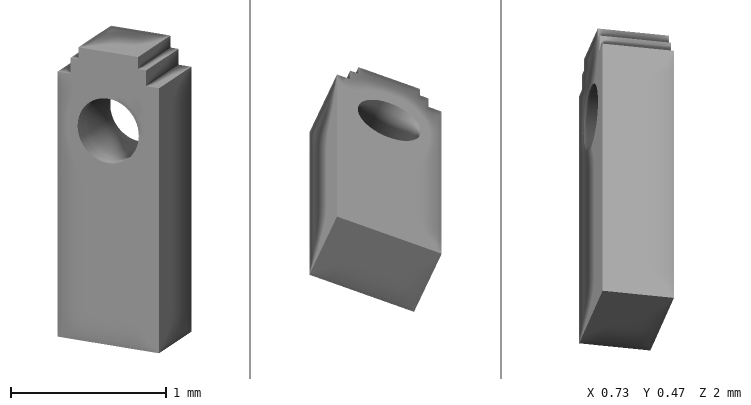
import cadquery as cq

width = 0.73
depth = 0.47
height = 2.0

body_height = 1.81
middle_width = 0.545
middle_top = 1.918
crown_width = 0.43

hole_diameter = 0.44
hole_height = 1.462


def tier(tier_width, top):
    """Centred block standing on the base plane and reaching up to top."""
    return cq.Workplane("XY").box(tier_width, depth, top, centered=(True, True, False))


stepped_block = (
    tier(width, body_height)
    .union(tier(middle_width, middle_top))
    .union(tier(crown_width, height))
)

hole = (
    cq.Workplane("XZ", origin=(0, depth / 2, 0))
    .center(0, hole_height)
    .circle(hole_diameter / 2)
    .extrude(depth)
)

result = stepped_block.cut(hole)